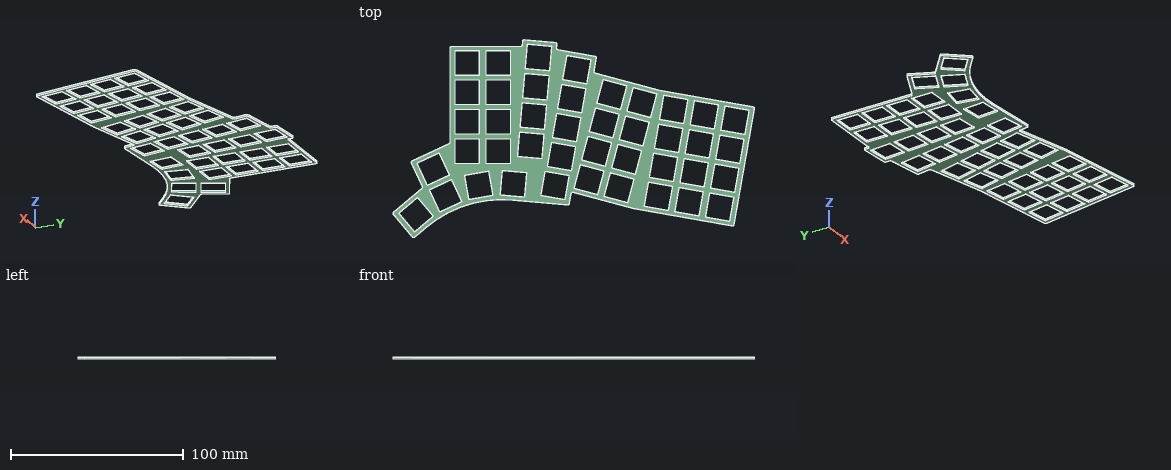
import cadquery as cq
import math


thickness = 1.2
hole_side = 14.0
column_pitch = 18.0
row_count = 4
row_span = 51.0
row_pitch = row_span / (row_count - 1)
border = 1.0
corner_radius = border
half_width = column_pitch / 2 + border
half_height = row_pitch / 2 + border

inner_key = (-62.0, -7.3, 0)
index_key = (-25.3, -4.0, -5)
middle_key = (-7.5, -10.5, -10)
ring_key = (8.4, -23.8, -15)
outer_key = (48.5, -33.5, -10)
outer_column_count = 3
block_columns = [
    (inner_key, 2),
    (index_key, 1),
    (middle_key, 1),
    (ring_key, 2),
    (outer_key, outer_column_count),
]

fan_x = -42.0
fan_y = -102.7
fan_radius = 76.8
fan_first_angle = -5
fan_step = 15
fan_last_index = 3
fan_end_gap = 0.2
below_middle_key = (-11.3, -27.1, -10)


def point_at(key, right, up):
    """Point at an offset from a key centre, measured along the key's own directions."""
    x, y, angle = key
    c = math.cos(math.radians(angle))
    s = math.sin(math.radians(angle))
    return (x + right * c - up * s, y + right * s + up * c)


def moved(key, right, up):
    """Key shifted along its own directions, keeping its rotation."""
    return (*point_at(key, right, up), key[2])


def fan_key(index):
    """Evenly spaced key on the thumb circle, counted away from the middle column."""
    angle = fan_first_angle + index * fan_step
    return moved((fan_x, fan_y, angle), 0, fan_radius)


def edge(key, side):
    """Line along one side of a key's bordered cell: a point and a direction angle."""
    x, y, angle = key
    right, up, turn = {
        "left": (-half_width, 0, 90),
        "right": (half_width, 0, 90),
        "top": (0, half_height, 0),
        "bottom": (0, -half_height, 0),
    }[side]
    return point_at(key, right, up), math.radians(angle + turn)


def meet(first, second):
    """Intersection of two lines."""
    (x1, y1), a1 = first
    (x2, y2), a2 = second
    along = ((x2 - x1) * math.sin(a2) - (y2 - y1) * math.cos(a2)) / math.sin(a2 - a1)
    return (x1 + along * math.cos(a1), y1 + along * math.sin(a1))


thumb_first = fan_key(0)
thumb_second = fan_key(1)
thumb_third = fan_key(2)
thumb_last = moved(fan_key(fan_last_index), -fan_end_gap, 0)
thumb_upper = moved(thumb_third, 0, row_pitch)

keys = [below_middle_key, thumb_first, thumb_second, thumb_third, thumb_last, thumb_upper]
for first_key, column_count in block_columns:
    for column in range(column_count):
        for row in range(row_count):
            keys.append(moved(first_key, column * column_pitch, row * row_pitch))

index_top = moved(index_key, 0, row_span)
middle_top = moved(middle_key, 0, row_span)
inner_top = moved(inner_key, 0, row_span)
ring_top = moved(ring_key, 0, row_span)
outer_top = moved(outer_key, (outer_column_count - 1) * column_pitch, row_span)
edges = [
    edge(thumb_last, "bottom"),
    edge(thumb_last, "left"),
    edge(thumb_last, "top"),
    edge(thumb_upper, "left"),
    edge(thumb_upper, "top"),
    edge(inner_top, "left"),
    edge(inner_top, "top"),
    edge(index_top, "left"),
    edge(index_top, "top"),
    edge(index_top, "right"),
    edge(middle_top, "top"),
    edge(middle_top, "right"),
    edge(ring_top, "top"),
    edge(outer_top, "top"),
    edge(outer_top, "right"),
    edge(outer_key, "bottom"),
    edge(ring_key, "bottom"),
    edge(below_middle_key, "right"),
    edge(thumb_first, "bottom"),
]
corners = [meet(before, after) for before, after in zip(edges, edges[1:])]

arc_start = point_at(thumb_first, 0, -half_height)
fan_middle_angle = fan_first_angle + fan_last_index * fan_step / 2
arc_middle = point_at((fan_x, fan_y, fan_middle_angle), 0, fan_radius - half_height)
arc_end = point_at(fan_key(fan_last_index), 0, -half_height)

plate = (
    cq.Workplane("XY")
    .moveTo(*arc_end)
    .polyline(corners + [arc_start], includeCurrent=True)
    .threePointArc(arc_middle, arc_end)
    .close()
    .extrude(thickness)
)
plate = plate.edges("|Z").fillet(corner_radius)

holes = cq.Workplane("XY")
for x, y, angle in keys:
    hole = cq.Workplane("XY").rect(hole_side, hole_side).extrude(thickness)
    holes = holes.add(hole.rotate((0, 0, 0), (0, 0, 1), angle).translate((x, y, 0)))
result = plate.cut(holes.combine())